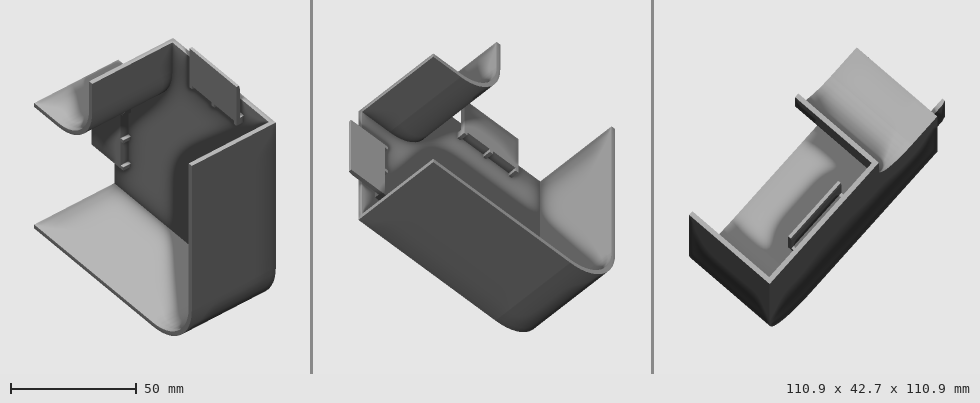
import cadquery as cq
import math

overall = 110.9
depth = 42.7
wall = 2.0
tongue_overhang = 9.8
channel_width = 65.9
inside_bend_radius = 20.0
corner_radius = 25.0

tongue_width = 30.2
tongue_length = 20.4
tongue_thickness = 1.8
tongue_gap = 2.1
lead_in_length = 2.2
lead_in_depth = 0.4
rib_width = 1.7
rib_length = 1.7
foot_length = 1.7

end_plane = overall - tongue_overhang
panel_face = depth - wall
tongue_back = panel_face - tongue_gap
tongue_front = tongue_back - tongue_thickness
tongue_center = overall - channel_width / 2
tongue_root = overall - tongue_length
foot_start = tongue_root + rib_length
bend_center_x = overall - channel_width - inside_bend_radius
bend_center_z = channel_width + inside_bend_radius


def elbow(inset, length):
    """Elbow prism from y = 0, with its two long walls moved inward by inset."""
    diagonal = math.sqrt(0.5)
    bend_radius = inside_bend_radius + inset
    outer_radius = corner_radius - inset
    right = overall - inset
    corner_x = overall - corner_radius
    bend_mid = (bend_center_x + bend_radius * diagonal, bend_center_z - bend_radius * diagonal)
    corner_mid = (corner_x + outer_radius * diagonal, corner_radius - outer_radius * diagonal)
    return (
        cq.Workplane("XZ")
        .moveTo(tongue_overhang, inset)
        .lineTo(corner_x, inset)
        .threePointArc(corner_mid, (right, corner_radius))
        .lineTo(right, end_plane)
        .lineTo(bend_center_x + bend_radius, end_plane)
        .lineTo(bend_center_x + bend_radius, bend_center_z)
        .threePointArc(bend_mid, (bend_center_x, bend_center_z - bend_radius))
        .lineTo(tongue_overhang, bend_center_z - bend_radius)
        .close()
        .extrude(-length)
    )


def upper_tongue():
    """Tongue on the upper channel end: tapered plate and foot, with three root ribs."""
    left = tongue_center - tongue_width / 2
    tongue = (
        cq.Workplane("YZ", origin=(left, 0, 0))
        .moveTo(tongue_front, foot_start)
        .lineTo(panel_face, foot_start)
        .lineTo(panel_face, foot_start + foot_length)
        .lineTo(tongue_back, foot_start + foot_length)
        .lineTo(tongue_back, overall - lead_in_length)
        .lineTo(tongue_back - lead_in_depth, overall)
        .lineTo(tongue_front, overall)
        .close()
        .extrude(tongue_width)
    )
    rib_spacing = (tongue_width - rib_width) / 2
    for index in range(3):
        rib = cq.Workplane("XY").box(
            rib_width, panel_face - tongue_front, rib_length, centered=False
        )
        tongue = tongue.union(rib.translate((left + index * rib_spacing, tongue_front, tongue_root)))
    return tongue


def swap_legs(shape):
    """Carry a shape from the upper leg to the left leg, across the elbow's diagonal."""
    middle = overall / 2
    turned = shape.rotate((middle, 0, middle), (middle, 1, middle), -90)
    return turned.mirror("XY", (0, 0, middle))


shell = elbow(0, depth).cut(elbow(wall, panel_face))
tongue = upper_tongue()
result = shell.union(tongue).union(swap_legs(tongue))